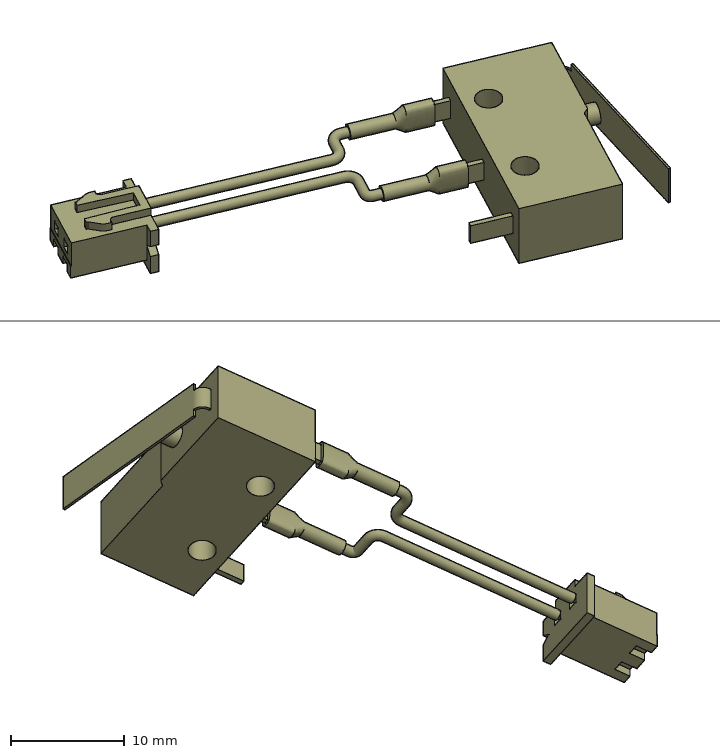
import cadquery as cq
import math


HOUSING_LENGTH = 19.8
HOUSING_DEPTH = 10.15
HOUSING_HEIGHT = 6.45
STEP_DROP = 0.5
STEP_START_X = 9.35
STEP_END_X = STEP_START_X + STEP_DROP
MOUNT_HOLE_DIAMETER = 2.5
MOUNT_HOLE_XS = (5.15, 14.65)
MOUNT_HOLE_Y = 2.4

CONTACT_Z = 0.05
PLUNGER_DIAMETER = 2.0
PLUNGER_X = 6.8
PLUNGER_TRAVEL = 1.8
LEVER_THICKNESS = 0.2
LEVER_WIDTH = 4.0
LEVER_FOOT_WIDTH = 2.4
LEVER_FOOT_X = 1.25
LEVER_RISE = 4.65
LEVER_BEND_RADIUS = 1.0
LEVER_ANGLE = 12.0
LEVER_TIP_X = 18.05
TERMINAL_XS = (1.8, 10.5, 18.05)
TERMINAL_LENGTH = 3.95
TERMINAL_THICKNESS = 0.5
TERMINAL_WIDTH = 2.05

SLEEVE_XS = TERMINAL_XS[:2]
SLEEVE_START = 1.6
SLEEVE_FLAT_LENGTH = 2.7
SLEEVE_TAPER_LENGTH = 0.95
SLEEVE_ROUND_LENGTH = 4.25
SLEEVE_THICKNESS = 1.25
SLEEVE_WIDTH = 2.75
SLEEVE_SQUARENESS = 3.5
SLEEVE_CURVE_POINTS = 40
SLEEVE_DIAMETER = 1.4
SLEEVE_END = SLEEVE_START + SLEEVE_FLAT_LENGTH + SLEEVE_TAPER_LENGTH + SLEEVE_ROUND_LENGTH

CONNECTOR_X = 6.05
POLE_PITCH = 2.5
POLE_XS = (CONNECTOR_X - POLE_PITCH / 2, CONNECTOR_X + POLE_PITCH / 2)
CONNECTOR_START = 30.0
CONNECTOR_LENGTH = 7.85
CONNECTOR_TOP_Z = 1.25
BODY_WIDTH = 5.4
BODY_HEIGHT = 4.1
FLANGE_WIDTH = 7.15
FLANGE_HEIGHT = 4.95
FLANGE_THICKNESS = 0.8
NOTCH_Z = -1.1
NOTCH_HALF_HEIGHT = 0.6
LIP_HEIGHT = 1.4
LIP_LENGTH = 0.05
CONTACT_HOLE_SIZE = 1.0
CONTACT_HOLE_Z = -0.3
KEYWAY_WIDTH = 1.1
KEYWAY_HEIGHT = 0.85
KEYWAY_SPACING = 2.35
KEYWAY_DEPTH = 1.6
LATCH_HEIGHT = 0.85
LATCH_HALF_WIDTH = 1.6
LATCH_BRIDGE_LENGTH = 0.8
LATCH_LENGTH = 6.0
LATCH_GAP_HALF = 0.85
LATCH_TIP_GAP_HALF = 0.95
LATCH_TIP_HALF_WIDTH = 1.4
LATCH_TIP_LENGTH = 0.15
BARB_HALF_WIDTH = 2.2
BARB_SHOULDER = 3.9
BARB_TAPER_START = 4.65
BARB_ROOT_RADIUS = 0.35
BARB_ROUNDING_LENGTH = 0.3

WIRE_DIAMETER = 1.0
WIRE_BEND_RADIUS = 1.0
WIRE_TIGHT_BEND_RADIUS = 0.55
WIRE_CROSSING_YS = (-11.1, -10.85)


def box(x_range, y_range, z_range):
    """Axis-aligned box between the two limits given along each axis."""
    (x0, x1), (y0, y1), (z0, z1) = x_range, y_range, z_range
    return cq.Workplane("XY").box(x1 - x0, y1 - y0, z1 - z0, centered=False).translate((x0, y0, z0))


def around(centre, size):
    """Limits of a span of the given size about its centre."""
    return (centre - size / 2, centre + size / 2)


def switch_housing():
    low_y = HOUSING_DEPTH - STEP_DROP
    outline = [
        (0, 0),
        (HOUSING_LENGTH, 0),
        (HOUSING_LENGTH, low_y),
        (STEP_END_X, low_y),
        (STEP_START_X, HOUSING_DEPTH),
        (0, HOUSING_DEPTH),
    ]
    housing = cq.Workplane("XY").polyline(outline).close().extrude(HOUSING_HEIGHT / 2, both=True)
    holes = (
        cq.Workplane("XY")
        .pushPoints([(x, MOUNT_HOLE_Y) for x in MOUNT_HOLE_XS])
        .circle(MOUNT_HOLE_DIAMETER / 2)
        .extrude(HOUSING_HEIGHT, both=True)
    )
    return housing.cut(holes)


def plunger():
    return (
        cq.Workplane("XZ", origin=(PLUNGER_X, HOUSING_DEPTH, CONTACT_Z))
        .circle(PLUNGER_DIAMETER / 2)
        .extrude(-PLUNGER_TRAVEL)
    )


def lever():
    """Bent strip: a narrow foot and bend, then a wider straight arm."""
    slope = math.radians(LEVER_ANGLE)
    along = (math.cos(slope), math.sin(slope))
    normal = (-math.sin(slope), math.cos(slope))
    bend_x = LEVER_FOOT_X + LEVER_BEND_RADIUS
    inner = LEVER_BEND_RADIUS - LEVER_THICKNESS / 2
    outer = LEVER_BEND_RADIUS + LEVER_THICKNESS / 2
    arm_length = (LEVER_TIP_X - bend_x - inner * normal[0]) / along[0]
    bend_y = HOUSING_DEPTH + LEVER_RISE - outer * normal[1] - arm_length * along[1]
    middle = (math.pi + slope + math.pi / 2) / 2

    def on_bend(radius, angle):
        return (bend_x + radius * math.cos(angle), bend_y + radius * math.sin(angle))

    arm_start_outer = on_bend(outer, slope + math.pi / 2)
    arm_start_inner = on_bend(inner, slope + math.pi / 2)
    foot = (
        cq.Workplane("XY", origin=(0, 0, CONTACT_Z))
        .moveTo(bend_x - outer, HOUSING_DEPTH)
        .lineTo(bend_x - outer, bend_y)
        .threePointArc(on_bend(outer, middle), arm_start_outer)
        .lineTo(*arm_start_inner)
        .threePointArc(on_bend(inner, middle), (bend_x - inner, bend_y))
        .lineTo(bend_x - inner, HOUSING_DEPTH)
        .close()
        .extrude(LEVER_FOOT_WIDTH / 2, both=True)
    )
    arm_plane = cq.Plane(origin=(*arm_start_inner, CONTACT_Z), xDir=(*along, 0), normal=(0, 0, 1))
    arm = (
        cq.Workplane(arm_plane)
        .rect(arm_length, LEVER_THICKNESS, centered=False)
        .extrude(LEVER_WIDTH / 2, both=True)
    )
    return foot.union(arm)


def terminal(x):
    return box(
        around(x, TERMINAL_THICKNESS),
        (-TERMINAL_LENGTH, 0),
        around(CONTACT_Z, TERMINAL_WIDTH),
    )


def make_switch():
    switch = switch_housing().union(plunger()).union(lever())
    for x in TERMINAL_XS:
        switch = switch.union(terminal(x))
    return switch


def sleeve_outline(angle):
    """Point on the superellipse outline of the flat socket; the first coordinate runs along Z."""
    def stretched(value):
        return math.copysign(abs(value) ** (2 / SLEEVE_SQUARENESS), value)

    return (
        SLEEVE_WIDTH / 2 * stretched(math.cos(angle)),
        SLEEVE_THICKNESS / 2 * stretched(math.sin(angle)),
    )


def make_sleeve(x):
    """Flat socket around a terminal, tapering to a round barrel for the wire."""
    def section(distance):
        plane = cq.Plane(origin=(x, -distance, CONTACT_Z), xDir=(0, 0, 1), normal=(0, -1, 0))
        return cq.Workplane(plane)

    def socket_section(distance):
        return section(distance).parametricCurve(sleeve_outline, N=SLEEVE_CURVE_POINTS, stop=2 * math.pi)

    taper_start = SLEEVE_START + SLEEVE_FLAT_LENGTH
    socket = socket_section(SLEEVE_START).extrude(SLEEVE_FLAT_LENGTH)
    taper = (
        socket_section(taper_start)
        .workplane(offset=SLEEVE_TAPER_LENGTH)
        .circle(SLEEVE_DIAMETER / 2)
        .loft()
    )
    barrel = (
        section(taper_start + SLEEVE_TAPER_LENGTH)
        .circle(SLEEVE_DIAMETER / 2)
        .extrude(SLEEVE_ROUND_LENGTH)
    )
    return socket.union(taper).union(barrel).cut(terminal(x))


def make_wire(start_x, end_x, crossing_y, first_radius):
    """Round wire that runs from a sleeve, steps sideways with two bends and runs on to the connector."""
    side = math.copysign(1, end_x - start_x)
    diagonal = math.sqrt(0.5)
    first_centre = (start_x + side * first_radius, crossing_y + first_radius)
    second_centre = (end_x - side * WIRE_BEND_RADIUS, crossing_y - WIRE_BEND_RADIUS)
    first_middle = (
        first_centre[0] - side * first_radius * diagonal,
        first_centre[1] - first_radius * diagonal,
    )
    second_middle = (
        second_centre[0] + side * WIRE_BEND_RADIUS * diagonal,
        second_centre[1] + WIRE_BEND_RADIUS * diagonal,
    )
    path = (
        cq.Workplane("XY", origin=(0, 0, CONTACT_Z))
        .moveTo(start_x, -SLEEVE_END)
        .lineTo(start_x, first_centre[1])
        .threePointArc(first_middle, (first_centre[0], crossing_y))
        .lineTo(second_centre[0], crossing_y)
        .threePointArc(second_middle, (end_x, second_centre[1]))
        .lineTo(end_x, -CONNECTOR_START)
    )
    start = cq.Workplane("XZ", origin=(start_x, -SLEEVE_END, CONTACT_Z))
    return start.circle(WIRE_DIAMETER / 2).sweep(path)


def connector_shell():
    """Body with a rear flange and a thin lip along the lower part of its front face."""
    end = CONNECTOR_START + CONNECTOR_LENGTH
    flange_end = CONNECTOR_START + FLANGE_THICKNESS
    bottom = CONNECTOR_TOP_Z - BODY_HEIGHT
    body_x = around(CONNECTOR_X, BODY_WIDTH)
    body = box(body_x, (-end, -CONNECTOR_START), (bottom, CONNECTOR_TOP_Z))
    lip = box(body_x, (-end - LIP_LENGTH, -flange_end), (bottom, bottom + LIP_HEIGHT))
    flange = box(
        around(CONNECTOR_X, FLANGE_WIDTH),
        (-flange_end, -CONNECTOR_START),
        (CONNECTOR_TOP_Z - FLANGE_HEIGHT, CONNECTOR_TOP_Z),
    )
    return body.union(lip).union(flange.cut(flange_notch()))


def flange_notch():
    """V notch in the right edge of the flange, as deep as the flange overhang."""
    edge_x = CONNECTOR_X + FLANGE_WIDTH / 2
    apex_x = CONNECTOR_X + BODY_WIDTH / 2
    corners = [
        (apex_x, NOTCH_Z),
        (edge_x, NOTCH_Z + NOTCH_HALF_HEIGHT),
        (edge_x, NOTCH_Z - NOTCH_HALF_HEIGHT),
    ]
    return (
        cq.Workplane("XZ", origin=(0, -CONNECTOR_START, 0))
        .polyline(corners)
        .close()
        .extrude(FLANGE_THICKNESS)
    )


def latch():
    """U-shaped rib on the top face with a barb at the end of each leg."""
    taper_end_y = -LATCH_LENGTH + LATCH_TIP_LENGTH
    taper_angle = math.atan2(taper_end_y + BARB_TAPER_START, LATCH_TIP_HALF_WIDTH - BARB_HALF_WIDTH)
    rounding_end = (
        BARB_HALF_WIDTH + BARB_ROUNDING_LENGTH * math.cos(taper_angle),
        -BARB_TAPER_START + BARB_ROUNDING_LENGTH * math.sin(taper_angle),
    )
    right_half = (
        cq.Workplane("XY")
        .moveTo(0, 0)
        .lineTo(LATCH_HALF_WIDTH, 0)
        .lineTo(LATCH_HALF_WIDTH, BARB_ROOT_RADIUS - BARB_SHOULDER)
        .tangentArcPoint((LATCH_HALF_WIDTH + BARB_ROOT_RADIUS, -BARB_SHOULDER), relative=False)
        .lineTo(BARB_HALF_WIDTH, -BARB_SHOULDER)
        .lineTo(BARB_HALF_WIDTH, BARB_ROUNDING_LENGTH - BARB_TAPER_START)
        .tangentArcPoint(rounding_end, relative=False)
        .lineTo(LATCH_TIP_HALF_WIDTH, taper_end_y)
        .lineTo(LATCH_TIP_HALF_WIDTH, -LATCH_LENGTH)
        .lineTo(LATCH_TIP_GAP_HALF, -LATCH_LENGTH)
        .lineTo(LATCH_GAP_HALF, -LATCH_BRIDGE_LENGTH)
        .lineTo(0, -LATCH_BRIDGE_LENGTH)
        .close()
        .extrude(LATCH_HEIGHT)
    )
    whole = right_half.union(right_half.mirror("YZ"))
    return whole.translate((CONNECTOR_X, -CONNECTOR_START, CONNECTOR_TOP_Z))


def make_connector():
    front = CONNECTOR_START + CONNECTOR_LENGTH + LIP_LENGTH
    bottom = CONNECTOR_TOP_Z - BODY_HEIGHT
    connector = connector_shell().union(latch())
    for x in POLE_XS:
        connector = connector.cut(box(
            around(x, CONTACT_HOLE_SIZE),
            (-front, -CONNECTOR_START),
            around(CONTACT_HOLE_Z, CONTACT_HOLE_SIZE),
        ))
    for x in around(CONNECTOR_X, KEYWAY_SPACING):
        connector = connector.cut(box(
            around(x, KEYWAY_WIDTH),
            (-front, -front + KEYWAY_DEPTH),
            (bottom, bottom + KEYWAY_HEIGHT),
        ))
    return connector


switch = make_switch()
sleeves = [make_sleeve(x) for x in SLEEVE_XS]
wires = [
    make_wire(SLEEVE_XS[0], POLE_XS[0], WIRE_CROSSING_YS[0], WIRE_BEND_RADIUS),
    make_wire(SLEEVE_XS[1], POLE_XS[1], WIRE_CROSSING_YS[1], WIRE_TIGHT_BEND_RADIUS),
]
connector = make_connector()

result = cq.Compound.makeCompound([
    switch.val(),
    *[sleeve.val() for sleeve in sleeves],
    *[wire.val() for wire in wires],
    connector.val(),
])